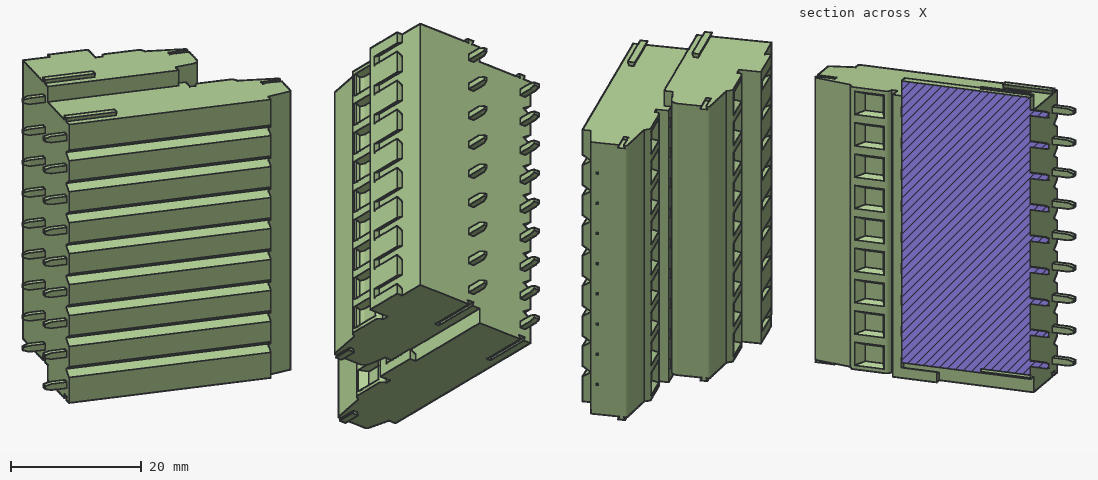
import cadquery as cq

POLES = 9
PITCH = 5.08
ROW_LENGTH = POLES * PITCH
ROW_SPACING = 2 * PITCH
ROW_STAGGER = PITCH / 2
ROW_RISE = 11.5
LOW_START = ROW_STAGGER
TALL_START = 0.0

WALL_X = 1.0
ENTRY_X = 2.6
NOTCH_X = 3.47
CROWN_LEFT = 4.6
LOW_CROWN_RIGHT = 10.65
TALL_CROWN_RIGHT = 20.46
CROWN_Y = 25.22
TALL_CROWN_Y = CROWN_Y + ROW_RISE
CROWN_FOOT_Y = 18.95
SHOULDER_X = 11.36
SHOULDER_Y = 21.15
NOTCH_TOP_Y = 12.06
ENTRY_TOP_Y = 18.4
ENTRY_TOP_ROUND = 0.45
ENTRY_BOTTOM_ROUND = 0.76
LOW_CROWN_ROUND = 1.3
CROWN_CORNER_ROUND = 0.3
TALL_X = ENTRY_X + ROW_SPACING
BACK_X = 22.8
TALL_NOTCH_TOP_Y = 23.65
TALL_ENTRY_TOP_Y = 29.85

LOW_LEDGE_X = 0.0
LOW_LEDGE_BOTTOM = 4.35
LOW_LEDGE_TOP = 10.9
TALL_LEDGE_X = 11.65
TALL_LEDGE_BOTTOM = 15.5
TALL_LEDGE_TOP = 22.7
LOW_LEDGE_BAR = 0.95
TALL_LEDGE_BAR = 1.4
GAP_OFFSET = 2.45
GAP_MOUTH = 1.45
GAP_ROOT = 2.45

POCKET_DEPTH = 1.0
POCKET_WIDTH = 3.75
POCKET_FLOOR_WIDTH = 2.7
LOW_POCKET_BOTTOM = 12.8
LOW_POCKET_TOP = 17.9
LOW_POCKET_STEP_DEPTH = 0.8
LOW_POCKET_STEP_Y = 17.5
LOW_POCKET_LIP_DEPTH = 0.15
LOW_POCKET_LIP_Y = 17.6
LOW_FLOOR_BOTTOM = 13.55
LOW_FLOOR_TOP = 16.65
TALL_POCKET_BOTTOM = 24.5
TALL_POCKET_TOP = 29.4
TALL_FLOOR_BOTTOM = 25.1
TALL_FLOOR_TOP = 28.0

BASE_DOVETAIL_X = 10.95
BASE_DOVETAIL_LENGTH = 8.1
BASE_DOVETAIL_HEIGHT = 0.65
BASE_DOVETAIL_NECK = 0.7
BASE_DOVETAIL_HEAD = 1.15
CROWN_DOVETAIL_X = 5.5
CROWN_DOVETAIL_LENGTH = 3.1
CROWN_DOVETAIL_HEIGHT = 0.5
CROWN_DOVETAIL_NECK = 0.7
CROWN_DOVETAIL_HEAD = 1.15

BACK_NOTCH_DEPTH = 1.4
BACK_NOTCH_WIDTH = 1.75
BUMP_X = 19.45
BUMP_SIZE = 0.25
BUMP_HEIGHT = 0.13

PIN_X = 11.05
PIN_SIZE = 1.0
PIN_LENGTH = 3.45
PIN_TIP_LENGTH = 0.9
PIN_TIP_SIZE = 0.5
PIN_EMBED = 1.0


def prism(points, start_z, length):
    """Extrude an XY polygon upward along the rows."""
    return cq.Workplane("XY", origin=(0, 0, start_z)).polyline(points).close().extrude(length)


def round_corner(body, x, y, radius):
    """Round the edge running along Z through the given XY corner."""
    reach = 0.05
    low_corner = (x - reach, y - reach, -ROW_LENGTH)
    high_corner = (x + reach, y + reach, 2 * ROW_LENGTH)
    box = cq.selectors.BoxSelector(low_corner, high_corner)
    return body.edges("|Z").edges(box).fillet(radius)


def row_contour(shift_x, rise, notch_top, entry_top, crown_right):
    """Wire entry side, crown and shoulder shared by both rows, from notch to shoulder."""
    entry_x = ENTRY_X + shift_x
    notch_x = NOTCH_X + shift_x
    return [
        (notch_x, notch_top),
        (entry_x, notch_top),
        (entry_x, entry_top),
        (notch_x, CROWN_FOOT_Y + rise),
        (CROWN_LEFT + shift_x, CROWN_Y + rise),
        (crown_right, CROWN_Y + rise),
        (SHOULDER_X + shift_x, SHOULDER_Y + rise),
    ]


def housing_row(lower_wall_x, ledge_top, contour, right_x, start_z, crown_round):
    """Solid housing of one row with its rounded corners."""
    notch_top = contour[0]
    entry_bottom = contour[1]
    entry_top = contour[2]
    crown_left = contour[4]
    crown_right = contour[5]
    shoulder = contour[6]
    points = [(lower_wall_x, 0), (lower_wall_x, ledge_top), (notch_top[0], ledge_top)]
    points += contour
    points += [(right_x, shoulder[1]), (right_x, 0)]
    body = prism(points, start_z, ROW_LENGTH)
    body = round_corner(body, *entry_bottom, ENTRY_BOTTOM_ROUND)
    body = round_corner(body, *entry_top, ENTRY_TOP_ROUND)
    body = round_corner(body, *crown_left, CROWN_CORNER_ROUND)
    return round_corner(body, *crown_right, crown_round)


def marker_ledge(outer_x, wall_x, bottom, top, bar, start_z):
    """Strip standing out from a wall, with gaps that widen toward the wall."""
    height = top - bottom
    ledge = cq.Workplane("XY").box(wall_x - outer_x, height, ROW_LENGTH, centered=False)
    ledge = ledge.translate((outer_x, bottom, start_z))
    for pole in range(POLES):
        middle = start_z + pole * PITCH + GAP_OFFSET
        gap = (
            cq.Workplane("XZ", origin=(0, bottom, 0))
            .polyline([
                (outer_x, middle - GAP_MOUTH / 2),
                (outer_x, middle + GAP_MOUTH / 2),
                (wall_x, middle + GAP_ROOT / 2),
                (wall_x, middle - GAP_ROOT / 2),
            ])
            .close()
            .extrude(-(height - bar))
        )
        ledge = ledge.cut(gap)
    return ledge


def entry_pockets(wall_x, outline, start_z):
    """Pockets with the given (depth, Y) outline, narrowing along Z toward the floor."""
    floor_x = wall_x + POCKET_DEPTH
    profile = prism([(wall_x + depth, y) for depth, y in outline], start_z, ROW_LENGTH)
    pockets = cq.Workplane("XY")
    for pole in range(POLES):
        middle = start_z + (pole + 0.5) * PITCH
        taper = (
            cq.Workplane("XZ")
            .polyline([
                (wall_x, middle - POCKET_WIDTH / 2),
                (wall_x, middle + POCKET_WIDTH / 2),
                (floor_x, middle + POCKET_FLOOR_WIDTH / 2),
                (floor_x, middle - POCKET_FLOOR_WIDTH / 2),
            ])
            .close()
            .extrude(-TALL_CROWN_Y)
        )
        pockets = pockets.add(taper.intersect(profile))
    return pockets.combine()


def dovetail(x, start_y, length, face_z, height, neck, head):
    """Rail along Y with its neck on face_z; a negative height points it toward -Z."""
    return (
        cq.Workplane("XZ", origin=(x, start_y, face_z))
        .polyline([(-neck / 2, 0), (-head / 2, height), (head / 2, height), (neck / 2, 0)])
        .close()
        .extrude(-length)
    )


def base_dovetail(shift_x, face_z):
    return dovetail(
        BASE_DOVETAIL_X + shift_x, 0, BASE_DOVETAIL_LENGTH, face_z,
        BASE_DOVETAIL_HEIGHT, BASE_DOVETAIL_NECK, BASE_DOVETAIL_HEAD,
    )


def crown_dovetail(shift_x, rise, face_z):
    return dovetail(
        CROWN_DOVETAIL_X + shift_x, CROWN_Y + rise - CROWN_DOVETAIL_LENGTH, CROWN_DOVETAIL_LENGTH, face_z,
        -CROWN_DOVETAIL_HEIGHT, CROWN_DOVETAIL_NECK, CROWN_DOVETAIL_HEAD,
    )


def add_dovetails(body, shift_x, rise, start_z):
    """Base rail on top and crown rail below, each with its socket on the opposite end."""
    end_z = start_z + ROW_LENGTH
    body = body.union(base_dovetail(shift_x, end_z))
    body = body.union(crown_dovetail(shift_x, rise, start_z))
    body = body.cut(base_dovetail(shift_x, start_z))
    return body.cut(crown_dovetail(shift_x, rise, end_z))


def cut_back_notches(body):
    half = BACK_NOTCH_WIDTH / 2
    for boundary in range(1, POLES):
        z = TALL_START + boundary * PITCH
        notch = (
            cq.Workplane("XZ")
            .polyline([(BACK_X, z - half), (BACK_X - BACK_NOTCH_DEPTH, z), (BACK_X, z + half)])
            .close()
            .extrude(-TALL_CROWN_Y)
        )
        body = body.cut(notch)
    return body


def add_crown_bumps(body):
    """Small bumps on the tall crown at the pole boundaries."""
    for boundary in range(1, POLES):
        bump = cq.Workplane("XY").box(BUMP_SIZE, 2 * BUMP_HEIGHT, BUMP_SIZE)
        z = TALL_START + boundary * PITCH
        body = body.union(bump.translate((BUMP_X, TALL_CROWN_Y, z)))
    return body


def solder_pin(x, z, tip_width):
    """Square pin pointing toward -Y with a tapered tip; tip_width is the tip's X size."""
    shank_end = -(PIN_LENGTH - PIN_TIP_LENGTH)
    shank = (
        cq.Workplane("XZ", origin=(x, PIN_EMBED, z))
        .rect(PIN_SIZE, PIN_SIZE)
        .extrude(PIN_EMBED - shank_end)
    )
    tip = (
        cq.Workplane("XZ", origin=(x, shank_end, z))
        .rect(PIN_SIZE, PIN_SIZE)
        .workplane(offset=PIN_TIP_LENGTH)
        .rect(tip_width, PIN_TIP_SIZE)
        .loft()
    )
    return shank.union(tip)


def add_pins(body, x, start_z, tip_width):
    for pole in range(POLES):
        body = body.union(solder_pin(x, start_z + (pole + 0.5) * PITCH, tip_width))
    return body


def low_row():
    contour = row_contour(0, 0, NOTCH_TOP_Y, ENTRY_TOP_Y, LOW_CROWN_RIGHT)
    body = housing_row(WALL_X, LOW_LEDGE_TOP, contour, TALL_X, LOW_START, LOW_CROWN_ROUND)
    ledge = marker_ledge(LOW_LEDGE_X, WALL_X, LOW_LEDGE_BOTTOM, LOW_LEDGE_TOP, LOW_LEDGE_BAR, LOW_START)
    pocket_outline = [
        (0, LOW_POCKET_BOTTOM),
        (POCKET_DEPTH, LOW_FLOOR_BOTTOM),
        (POCKET_DEPTH, LOW_FLOOR_TOP),
        (LOW_POCKET_STEP_DEPTH, LOW_POCKET_STEP_Y),
        (LOW_POCKET_LIP_DEPTH, LOW_POCKET_LIP_Y),
        (0, LOW_POCKET_TOP),
    ]
    body = body.union(ledge).cut(entry_pockets(ENTRY_X, pocket_outline, LOW_START))
    body = add_dovetails(body, 0, 0, LOW_START)
    return add_pins(body, PIN_X, LOW_START, PIN_TIP_SIZE)


def tall_row():
    contour = row_contour(
        ROW_SPACING, ROW_RISE, TALL_NOTCH_TOP_Y, TALL_ENTRY_TOP_Y, TALL_CROWN_RIGHT,
    )
    body = housing_row(TALL_X, TALL_LEDGE_TOP, contour, BACK_X, TALL_START, CROWN_CORNER_ROUND)
    ledge = marker_ledge(
        TALL_LEDGE_X, TALL_X, TALL_LEDGE_BOTTOM, TALL_LEDGE_TOP, TALL_LEDGE_BAR, TALL_START,
    )
    pocket_outline = [
        (0, TALL_POCKET_BOTTOM),
        (POCKET_DEPTH, TALL_FLOOR_BOTTOM),
        (POCKET_DEPTH, TALL_FLOOR_TOP),
        (0, TALL_POCKET_TOP),
    ]
    body = body.union(ledge).cut(entry_pockets(TALL_X, pocket_outline, TALL_START))
    body = add_dovetails(body, ROW_SPACING, ROW_RISE, TALL_START)
    body = add_crown_bumps(cut_back_notches(body))
    return add_pins(body, PIN_X + ROW_SPACING, TALL_START, PIN_SIZE)


result = low_row().union(tall_row())